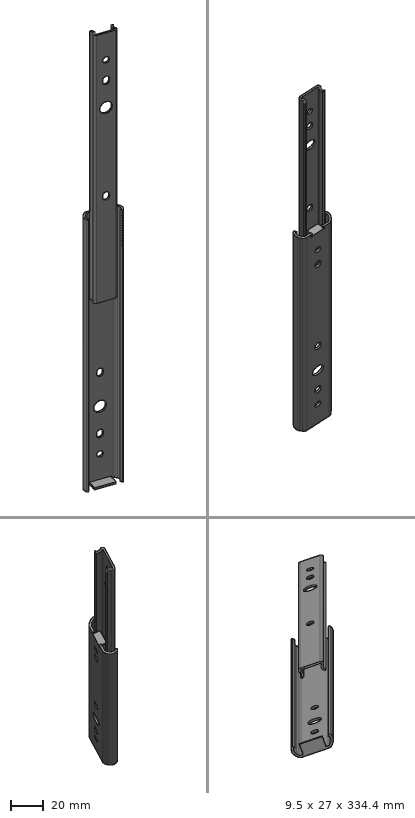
import cadquery as cq
import math

SHEET = 1.5
SLIDE_TOP = 334.4
CUT_DEPTH = 30.0

OUTER_LENGTH = 200.0
OUTER_WIDTH = 27.0
WEB_HALF_WIDTH = 8.8
CROWN_RADIUS = 5.2
CROWN_CENTER = (5.7, OUTER_WIDTH / 2 - CROWN_RADIUS)
CROWN_START_ANGLE = 131.0
CROWN_END_ANGLE = 61.0
RACE_LIP_RADIUS = 1.0
RACE_LIP_END_ANGLE = -15.0
RACE_LIP_INNER_X = 7.3
RACE_LIP_INNER_Y = 10.7

TAB_WIDTH = 9.0
TAB_TOP = OUTER_LENGTH - 2.0
TAB_REACH = 5.2
TAB_CORNER = 1.0
RELIEF_LENGTH = 1.0
RELIEF_HEIGHT = 0.5

END_STOP_WIDTH = 15.0
END_STOP_REACH = 8.5

INNER_BACK = 9.5
INNER_BOTTOM = 137.4
INNER_WIDTH = 16.3
INNER_SHEET = 1.3
SHOULDER_RADIUS = 1.65
GROOVE_RADIUS = 1.85
GROOVE_BOTTOM_Y = 7.1
WALL_LIP_OUTER_X = 3.6
WALL_LIP_INNER_X = 3.6
WALL_LIP_CORNER = (2.9, 7.5)

ROUND_HOLE = 4.5
SLOT_LENGTH = 6.0
SLOT_WIDTH = 4.5
ACCESS_HOLE = 8.6
OUTER_ROUND_HOLES = [20.0, 180.0]
OUTER_SLOTS = [35.0, 80.0, 165.0]
INNER_ROUND_HOLES = [20.0]
INNER_SLOTS = [35.0, 120.0]
ACCESS_HOLE_DISTANCE = 55.0


def polar(center, radius, degrees):
    angle = math.radians(degrees)
    return (center[0] + radius * math.cos(angle), center[1] + radius * math.sin(angle))


def box_between(x_range, y_range, z_range):
    size = [high - low for low, high in (x_range, y_range, z_range)]
    corner = (x_range[0], y_range[0], z_range[0])
    return cq.Workplane("XY").box(*size, centered=False).translate(corner)


def mirrored_rail(half_outline, bottom, length):
    """Extrude the +Y half of a section and join it to its mirror image."""
    half = half_outline.close().extrude(length).translate((0, 0, bottom))
    return half.union(half.mirror("XZ"))


def cut_fixing_holes(rail, round_heights, slot_heights, access_height):
    face = cq.Workplane("YZ")
    round_holes = face.pushPoints([(0, z) for z in round_heights])
    round_holes = round_holes.circle(ROUND_HOLE / 2).extrude(CUT_DEPTH)
    slots = face.pushPoints([(0, z) for z in slot_heights])
    slots = slots.slot2D(SLOT_LENGTH, SLOT_WIDTH, 90).extrude(CUT_DEPTH)
    access = face.center(0, access_height).circle(ACCESS_HOLE / 2).extrude(CUT_DEPTH)
    return rail.cut(round_holes).cut(slots).cut(access)


def outer_section():
    inside_radius = CROWN_RADIUS - SHEET
    crown_start = polar(CROWN_CENTER, CROWN_RADIUS, CROWN_START_ANGLE)
    crown_end = polar(CROWN_CENTER, CROWN_RADIUS, CROWN_END_ANGLE)
    inside_start = polar(CROWN_CENTER, inside_radius, CROWN_START_ANGLE)
    inside_end_angle = math.degrees(math.acos((RACE_LIP_INNER_X - CROWN_CENTER[0]) / inside_radius))
    lip_center = polar(CROWN_CENTER, CROWN_RADIUS - RACE_LIP_RADIUS, CROWN_END_ANGLE)
    lip_middle_angle = (CROWN_END_ANGLE + RACE_LIP_END_ANGLE) / 2
    flank_normal = math.radians(180 - CROWN_START_ANGLE)
    web_corner = crown_start[1] - crown_start[0] / math.tan(flank_normal)
    bend_radius = (web_corner - WEB_HALF_WIDTH) / math.tan(flank_normal / 2)
    bend_center = (bend_radius, WEB_HALF_WIDTH)
    inside_bend = bend_radius - SHEET
    bend_middle_angle = (180 + CROWN_START_ANGLE) / 2

    outline = cq.Workplane("XY").lineTo(0, WEB_HALF_WIDTH)
    outline = outline.threePointArc(
        polar(bend_center, bend_radius, bend_middle_angle),
        polar(bend_center, bend_radius, CROWN_START_ANGLE),
    )
    outline = outline.lineTo(*crown_start)
    outline = outline.threePointArc(polar(CROWN_CENTER, CROWN_RADIUS, 90), crown_end)
    outline = outline.threePointArc(
        polar(lip_center, RACE_LIP_RADIUS, lip_middle_angle),
        polar(lip_center, RACE_LIP_RADIUS, RACE_LIP_END_ANGLE),
    )
    outline = outline.lineTo(RACE_LIP_INNER_X, RACE_LIP_INNER_Y)
    outline = outline.lineTo(*polar(CROWN_CENTER, inside_radius, inside_end_angle))
    outline = outline.threePointArc(polar(CROWN_CENTER, inside_radius, 90), inside_start)
    outline = outline.lineTo(*polar(bend_center, inside_bend, CROWN_START_ANGLE))
    outline = outline.threePointArc(
        polar(bend_center, inside_bend, bend_middle_angle), (SHEET, WEB_HALF_WIDTH)
    )
    return outline.lineTo(SHEET, 0)


def stop_tab():
    half = TAB_WIDTH / 2
    tab = box_between((0, TAB_REACH), (-half, half), (TAB_TOP - SHEET, TAB_TOP))
    return tab.edges("|Z and >X").chamfer(TAB_CORNER)


def make_outer_rail():
    rail = mirrored_rail(outer_section(), 0, OUTER_LENGTH)
    half_tab = TAB_WIDTH / 2
    half_relief = half_tab + RELIEF_LENGTH
    notch = box_between((0, SHEET), (-half_tab, half_tab), (TAB_TOP, OUTER_LENGTH))
    relief = box_between((0, SHEET), (-half_relief, half_relief), (TAB_TOP - RELIEF_HEIGHT, TAB_TOP))
    half_stop = END_STOP_WIDTH / 2
    end_stop = box_between((0, END_STOP_REACH), (-half_stop, half_stop), (0, SHEET))
    rail = rail.cut(notch).cut(relief).union(stop_tab()).union(end_stop)
    return rail


def inner_section():
    shoulder = (INNER_BACK - SHOULDER_RADIUS, INNER_WIDTH / 2 - SHOULDER_RADIUS)
    groove_y = GROOVE_BOTTOM_Y + GROOVE_RADIUS
    center_distance = SHOULDER_RADIUS + GROOVE_RADIUS
    rise = groove_y - shoulder[1]
    groove = (shoulder[0] - math.sqrt(center_distance**2 - rise**2), groove_y)
    join_angle = math.degrees(math.atan2(rise, groove[0] - shoulder[0]))

    def lip_angle(radius, lip_x):
        return 360 - math.degrees(math.acos((lip_x - groove[0]) / radius))

    inside_shoulder = SHOULDER_RADIUS - INNER_SHEET
    inside_groove = GROOVE_RADIUS + INNER_SHEET
    outer_lip = lip_angle(GROOVE_RADIUS, WALL_LIP_OUTER_X)
    inner_lip = lip_angle(inside_groove, WALL_LIP_INNER_X)
    groove_join = join_angle + 180

    outline = cq.Workplane("XY").moveTo(INNER_BACK, 0).lineTo(INNER_BACK, shoulder[1])
    outline = outline.threePointArc(
        polar(shoulder, SHOULDER_RADIUS, join_angle / 2), polar(shoulder, SHOULDER_RADIUS, join_angle)
    )
    outline = outline.threePointArc(
        polar(groove, GROOVE_RADIUS, 270), polar(groove, GROOVE_RADIUS, outer_lip)
    )
    outline = outline.lineTo(*WALL_LIP_CORNER).lineTo(*polar(groove, inside_groove, inner_lip))
    outline = outline.threePointArc(
        polar(groove, inside_groove, 270), polar(groove, inside_groove, groove_join)
    )
    outline = outline.threePointArc(
        polar(shoulder, inside_shoulder, join_angle / 2), polar(shoulder, inside_shoulder, 0)
    )
    return outline.lineTo(INNER_BACK - INNER_SHEET, 0)


def make_inner_rail():
    rail = mirrored_rail(inner_section(), INNER_BOTTOM, SLIDE_TOP - INNER_BOTTOM)
    return cut_fixing_holes(
        rail,
        [SLIDE_TOP - distance for distance in INNER_ROUND_HOLES],
        [SLIDE_TOP - distance for distance in INNER_SLOTS],
        SLIDE_TOP - ACCESS_HOLE_DISTANCE,
    )


outer_rail = cut_fixing_holes(make_outer_rail(), OUTER_ROUND_HOLES, OUTER_SLOTS, ACCESS_HOLE_DISTANCE)
inner_rail = make_inner_rail()

result = cq.Compound.makeCompound([outer_rail.val(), inner_rail.val()])